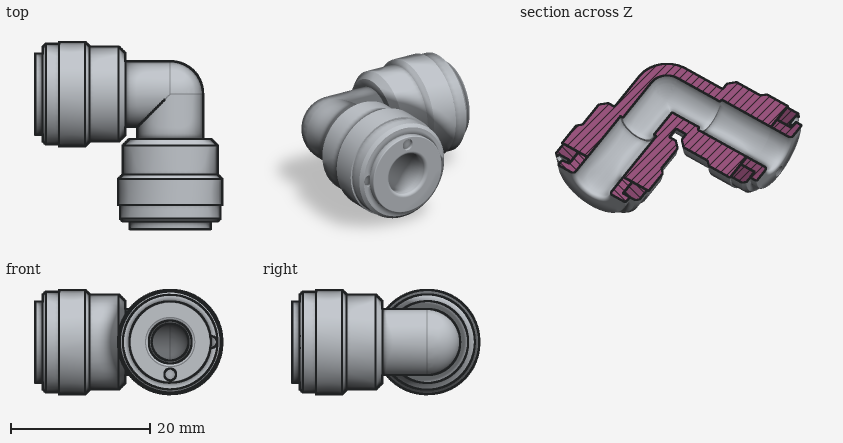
import cadquery as cq


overall_length = 26.9
socket_diameter = 15.0

cap_face_depth = 1.1
cap_seam_depth = 3.47
socket_step_depth = 7.18
shoulder_depth = 12.0

neck_diameter = 13.7
bend_diameter = 9.5
passage_diameter = 5.3
tube_socket_diameter = 6.15
shoulder_chamfer = 0.97

cap_diameter = 14.5
cap_chamfer = 0.45

collet_head_diameter = 11.7
collet_stem_diameter = 9.2
collet_edge_radius = 0.13
collet_mouth_radius = 0.45

mark_diameter = 1.7
mark_depth = 0.5
collet_mark_offset = 4.65
cap_mark_offset = 5.9

mouth_x = socket_diameter / 2 - overall_length
cap_face_x = mouth_x + cap_face_depth
cap_seam_x = mouth_x + cap_seam_depth
socket_step_x = mouth_x + socket_step_depth
neck_start_x = socket_step_x + (socket_diameter - neck_diameter) / 2
shoulder_x = mouth_x + shoulder_depth
socket_end_x = shoulder_x + shoulder_chamfer


def rod(diameter, start_x, end_x):
    """Cylinder on the first port axis."""
    return cq.Workplane("YZ", origin=(start_x, 0, 0)).circle(diameter / 2).extrude(end_x - start_x)


def to_second_port(shape):
    """Half turn about the line x = y, which carries the first port onto the second."""
    return shape.rotate((0, 0, 0), (1, 1, 0), 180)


def mitred_bend(diameter, start_x):
    """Two round legs that meet in a mitre, with a quarter ball rounding the outside of the corner."""
    radius = diameter / 2
    mitred_outline = (
        cq.Workplane("XY")
        .polyline([(start_x, -radius), (-radius, -radius), (0, 0), (0, radius), (start_x, radius)])
        .close()
        .extrude(radius, both=True)
    )
    leg = rod(diameter, start_x, 0).intersect(mitred_outline)
    quarter_ball = (
        cq.Workplane("YZ")
        .moveTo(0, -radius)
        .threePointArc((radius, 0), (0, radius))
        .close()
        .revolve(90, (0, 0, 0), (0, -1, 0))
    )
    return leg.union(to_second_port(leg)).union(quarter_ball)


def make_socket():
    """Outside of one housing socket, revolved about the first port axis."""
    socket_radius = socket_diameter / 2
    neck_radius = neck_diameter / 2
    return (
        cq.Workplane("XY")
        .moveTo(cap_seam_x, 0)
        .lineTo(cap_seam_x, socket_radius)
        .lineTo(socket_step_x, socket_radius)
        .lineTo(neck_start_x, neck_radius)
        .lineTo(shoulder_x, neck_radius)
        .lineTo(socket_end_x, neck_radius - shoulder_chamfer)
        .lineTo(socket_end_x, 0)
        .close()
        .revolve(360, (0, 0, 0), (1, 0, 0))
    )


def make_housing():
    """Mitred elbow with a socket on each leg; the tube stops level with the start of the shoulder chamfer."""
    socket = make_socket()
    tube_socket = rod(tube_socket_diameter, cap_seam_x, shoulder_x)
    body = mitred_bend(bend_diameter, cap_seam_x).union(socket).union(to_second_port(socket))
    body = body.cut(tube_socket).cut(to_second_port(tube_socket))
    return body.cut(mitred_bend(passage_diameter, cap_seam_x))


def make_cap():
    """Ring that closes a socket and guides the collet stem."""
    ring = rod(cap_diameter, cap_face_x, cap_seam_x).faces("<X").chamfer(cap_chamfer)
    mark = rod(mark_diameter, cap_face_x, cap_face_x + mark_depth).translate((0, cap_mark_offset, 0))
    return ring.cut(rod(collet_stem_diameter, cap_face_x, cap_seam_x)).cut(mark)


def make_collet():
    """Flanged sleeve with a rounded mouth for the tube."""
    head = rod(collet_head_diameter, mouth_x, cap_face_x).edges().fillet(collet_edge_radius)
    stem = rod(collet_stem_diameter, cap_face_x, cap_seam_x)
    bore = rod(tube_socket_diameter, mouth_x, cap_seam_x)
    mark = rod(mark_diameter, mouth_x, mouth_x + mark_depth).translate((0, 0, collet_mark_offset))
    sleeve = head.union(stem).cut(bore)
    mouth_edge = sleeve.faces("<X").edges(cq.selectors.RadiusNthSelector(0))
    sleeve = mouth_edge.fillet(collet_mouth_radius)
    return sleeve.cut(mark)


def at_both_ports(body):
    """The body's solid on the first port, and its copy on the second."""
    return [port_body.val() for port_body in (body, to_second_port(body))]


housing = make_housing()
caps = at_both_ports(make_cap())
collets = at_both_ports(make_collet())

result = cq.Compound.makeCompound([housing.val(), *caps, *collets])